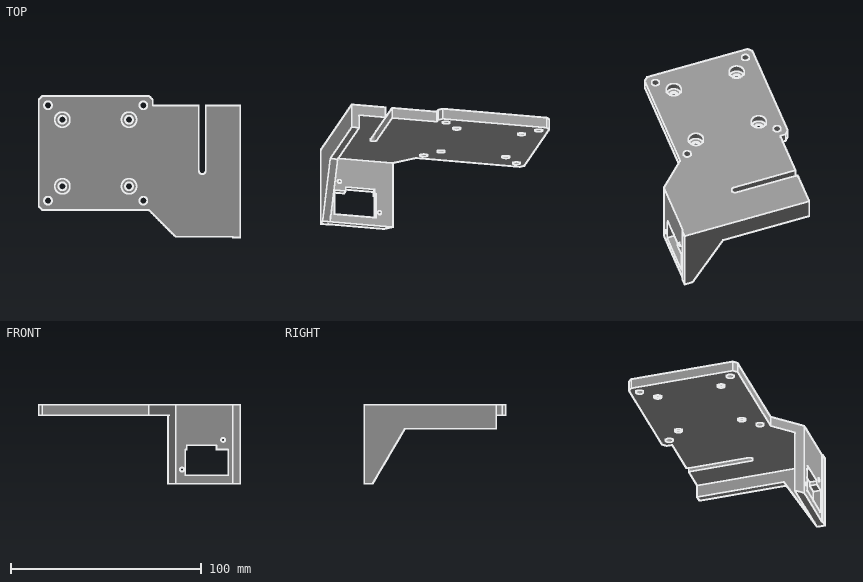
import cadquery as cq

length = 106.0
depth = 74.4
height = 41.7

plate_side = 60.0
plate_thickness = 5.7
corner_chamfer = 2.0
shelf_setback = 5.0

wall_thickness = 4.0
rib_thickness = 4.0
rib_step = 0.4
rib_drop = 12.8
rib_straight_end = 53.0

corner_spacing = 50.0
corner_hole_diameter = 4.0
mount_spacing = 35.0
mount_hole_diameter = 4.0
counterbore_diameter = 8.0
counterbore_depth = 4.6

slot_center_x = 86.0
slot_width = 3.5
slot_length = 36.0

window_left = 77.1
window_right = 99.5
window_bottom = 4.6
window_height = 13.5
notch_left = 77.8
notch_right = 93.4
notch_height = 2.2
wall_hole_diameter = 2.0
wall_hole_positions = [(75.3, 7.5), (96.9, 23.1)]

wall_front = -(depth - rib_step)
wall_back = wall_front + wall_thickness
rib_left = length - rib_thickness
bevel_start = plate_side - corner_chamfer
bevel_end = bevel_start - wall_front - plate_side
plate_center = (plate_side / 2, -plate_side / 2)


def top_outline():
    """Outline of plate and shelf, without the rib's step."""
    return cq.Workplane("XY").polyline([
        (corner_chamfer, 0),
        (bevel_start, 0),
        (plate_side, -corner_chamfer),
        (plate_side, -shelf_setback),
        (length, -shelf_setback),
        (length, wall_front),
        (bevel_end, wall_front),
        (bevel_start, -plate_side),
        (corner_chamfer, -plate_side),
        (0, -plate_side + corner_chamfer),
        (0, -corner_chamfer),
    ]).close()


def front_wall():
    """Wall trimmed by the same bevel as the shelf above it."""
    strip = cq.Workplane("XY").box(length, wall_thickness, height, centered=False)
    strip = strip.translate((0, wall_front, -height))
    return top_outline().extrude(-height).intersect(strip)


def side_rib():
    profile = cq.Workplane("YZ", origin=(rib_left, 0, 0)).polyline([
        (-shelf_setback, 0),
        (-shelf_setback, -rib_drop),
        (-rib_straight_end, -rib_drop),
        (wall_back, -height),
        (-depth, -height),
        (-depth, 0),
    ]).close()
    return profile.extrude(rib_thickness)


def square_of_points(spacing):
    return cq.Workplane("XY").center(*plate_center).rect(spacing, spacing, forConstruction=True).vertices()


def plate_holes():
    corners = square_of_points(corner_spacing).circle(corner_hole_diameter / 2).extrude(-plate_thickness)
    mounts = square_of_points(mount_spacing).circle(mount_hole_diameter / 2).extrude(-plate_thickness)
    bores = square_of_points(mount_spacing).circle(counterbore_diameter / 2).extrude(-counterbore_depth)
    return corners.union(mounts).union(bores)


def shelf_slot():
    """Slot open at the back edge, with a round inner end."""
    radius = slot_width / 2
    back = -shelf_setback
    arc_start = back - slot_length + radius
    outline = (
        cq.Workplane("XY")
        .moveTo(slot_center_x - radius, back)
        .lineTo(slot_center_x - radius, arc_start)
        .threePointArc((slot_center_x, back - slot_length), (slot_center_x + radius, arc_start))
        .lineTo(slot_center_x + radius, back)
        .close()
    )
    return outline.extrude(-plate_thickness)


def wall_openings():
    lower_edge = cq.Workplane("XZ", origin=(0, wall_back, -height))
    window_top = window_bottom + window_height
    window = lower_edge.polyline([
        (window_left, window_bottom),
        (window_right, window_bottom),
        (window_right, window_top),
        (notch_right, window_top),
        (notch_right, window_top + notch_height),
        (notch_left, window_top + notch_height),
        (notch_left, window_top),
        (window_left, window_top),
    ]).close().extrude(wall_thickness)
    holes = lower_edge.pushPoints(wall_hole_positions).circle(wall_hole_diameter / 2).extrude(wall_thickness)
    return window.union(holes)


body = top_outline().extrude(-plate_thickness).union(front_wall()).union(side_rib())
result = body.cut(plate_holes()).cut(shelf_slot()).cut(wall_openings())